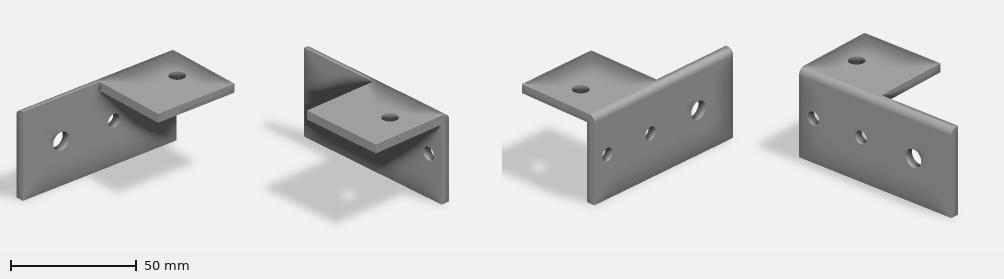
import cadquery as cq

length = 80.0
leg = 40.0
flange_width = leg
thickness = 4.0
bend_radius = 3.0

wall_holes = [(7.5, 6.0), (32.5, 6.0), (60.0, 8.2)]

flange_hole_offset = 13.0
flange_hole_diameter = 7.0


def make_bracket():
    """Upright wall with a shorter flange at its +Y end, rounded on the outer bend."""
    wall = cq.Workplane("XY").box(thickness, length, leg, centered=False)
    flange = (
        cq.Workplane("XY")
        .box(leg, flange_width, thickness, centered=False)
        .translate((0, length - flange_width, leg - thickness))
    )
    rounded_wall = wall.edges("<X and >Z").fillet(bend_radius)
    rounded_flange = flange.edges("<X and >Z").fillet(bend_radius)
    return rounded_wall.union(rounded_flange)


def wall_hole(offset, diameter):
    """Cutter through the wall along X."""
    return (
        cq.Workplane("YZ")
        .center(length - offset, leg / 2)
        .circle(diameter / 2)
        .extrude(thickness)
    )


def flange_hole():
    """Cutter through the flange along Z."""
    return (
        cq.Workplane("XY", origin=(0, 0, leg - thickness))
        .center(leg / 2, length - flange_hole_offset)
        .circle(flange_hole_diameter / 2)
        .extrude(thickness)
    )


result = make_bracket().cut(flange_hole())
for hole_offset, hole_diameter in wall_holes:
    result = result.cut(wall_hole(hole_offset, hole_diameter))